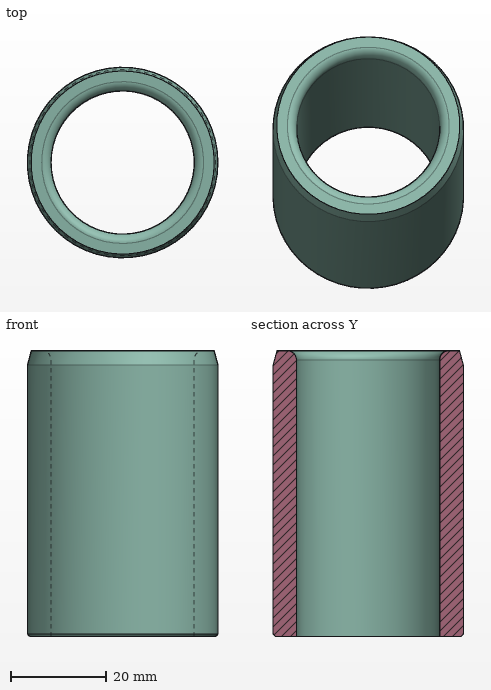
import cadquery as cq
import math

height = 60.0
outer_diameter = 40.0
bore_diameter = 30.0

lead_in_height = 3.0
lead_in_angle = 15.0
bore_fillet = 2.0
bottom_chamfer = 0.5

outer_radius = outer_diameter / 2
lead_in_depth = lead_in_height * math.tan(math.radians(lead_in_angle))


def make_body():
    """Outer cylinder with a tapered top end and a chamfered bottom edge."""
    profile = (
        cq.Workplane("XZ")
        .moveTo(0, 0)
        .lineTo(outer_radius - bottom_chamfer, 0)
        .lineTo(outer_radius, bottom_chamfer)
        .lineTo(outer_radius, height - lead_in_height)
        .lineTo(outer_radius - lead_in_depth, height)
        .lineTo(0, height)
        .close()
    )
    return profile.revolve(360, (0, 0, 0), (0, 1, 0))


def cut_bore(body):
    """Through bore with a rounded mouth at the top."""
    bored = body.faces(">Z").workplane().hole(bore_diameter)
    return bored.faces(">Z").edges(cq.selectors.RadiusNthSelector(0)).fillet(bore_fillet)


result = cut_bore(make_body())